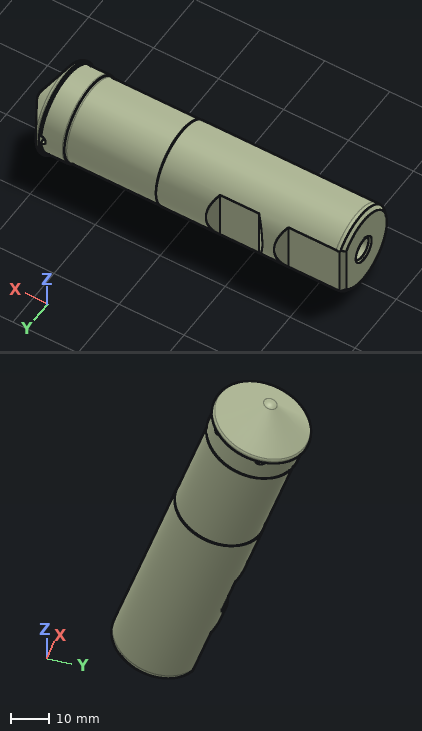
import cadquery as cq
import math

length = 100
shank_radius = 25 / 2
body_radius = 24.8 / 2
neck_radius = 12.8
flange_radius = 27 / 2

end_chamfer = 1.1
end_taper_length = 1.2

shank_length = 56
shank_step_length = 0.2
body_end = 83.6
neck_start = 84.2
edge_break = 0.1
neck_break_length = 0.5
flange_start = 91.5
flange_root_length = 0.3

point_half_angle = math.radians(59)
tip_round_radius = 3.6
rim_round_radius = 0.9

flat_height = 9.8
flat_end_chamfer = 1.3
end_flat_length = 17
inner_flat_start = 26
inner_flat_end = 38

bore_radius = 6.5 / 2
bore_mouth_chamfer = 0.6
bore_depth = 86
bore_tip_half_angle = math.radians(59)
branch_radius = 3 / 2
branch_tilt = 65
branch_exit_x = 91.5
branch_overrun = 2
branch_directions = (0, 203, 270)


def revolve_about_x(profile):
    return profile.close().revolve(360, (0, 0, 0), (1, 0, 0))


def turned_body():
    profile = (
        cq.Workplane("XY")
        .lineTo(0, body_radius - end_chamfer)
        .lineTo(end_chamfer, body_radius)
        .lineTo(end_chamfer + end_taper_length, shank_radius)
        .lineTo(shank_length, shank_radius)
        .lineTo(shank_length + shank_step_length, body_radius)
        .lineTo(body_end, body_radius)
        .lineTo(neck_start, body_radius + edge_break)
        .lineTo(neck_start, neck_radius - edge_break)
        .lineTo(neck_start + neck_break_length, neck_radius)
        .lineTo(flange_start - flange_root_length, neck_radius)
        .lineTo(flange_start, neck_radius + edge_break)
        .lineTo(flange_start, 0)
    )
    return revolve_about_x(profile)


def point():
    tip_center_x = length - tip_round_radius
    cone_end_x = tip_center_x + tip_round_radius * math.sin(point_half_angle)
    cone_end_radius = tip_round_radius * math.cos(point_half_angle)

    corner_x = cone_end_x - (flange_radius - cone_end_radius) / math.tan(point_half_angle)
    setback = rim_round_radius * math.tan(point_half_angle / 2)
    cone_start_x = corner_x + setback * math.cos(point_half_angle)
    cone_start_radius = flange_radius - setback * math.sin(point_half_angle)

    profile = (
        cq.Workplane("XY")
        .moveTo(flange_start, 0)
        .lineTo(flange_start, flange_radius)
        .lineTo(corner_x - setback, flange_radius)
        .tangentArcPoint((cone_start_x, cone_start_radius), relative=False)
        .lineTo(cone_end_x, cone_end_radius)
        .tangentArcPoint((length, 0), relative=False)
    )
    return revolve_about_x(profile)


def prism_along_z(outline):
    return cq.Workplane("XY").polyline(outline).close().extrude(flange_radius, both=True)


def clamping_flats():
    top = flange_radius
    rise = top - flat_height
    end_flat = prism_along_z([
        (0, top),
        (0, flat_height - flat_end_chamfer),
        (flat_end_chamfer, flat_height),
        (end_flat_length, flat_height),
        (end_flat_length + rise, top),
    ])
    inner_flat = prism_along_z([
        (inner_flat_start - rise, top),
        (inner_flat_start, flat_height),
        (inner_flat_end, flat_height),
        (inner_flat_end + rise, top),
    ])
    return end_flat.union(inner_flat)


def coolant_bore():
    tip_length = bore_radius / math.tan(bore_tip_half_angle)
    profile = (
        cq.Workplane("XY")
        .lineTo(0, bore_radius + bore_mouth_chamfer)
        .lineTo(bore_mouth_chamfer, bore_radius)
        .lineTo(bore_depth, bore_radius)
        .lineTo(bore_depth + tip_length, 0)
    )
    return revolve_about_x(profile)


def branch_hole(direction):
    tilt = math.radians(branch_tilt)
    start = cq.Vector(branch_exit_x - neck_radius / math.tan(tilt), 0, 0)
    axis = cq.Vector(math.cos(tilt), math.sin(tilt), 0)
    hole_length = neck_radius / math.sin(tilt) + branch_overrun
    hole = cq.Solid.makeCylinder(branch_radius, hole_length, start, axis)
    return cq.Workplane(hole).rotate((0, 0, 0), (1, 0, 0), direction)


result = turned_body().cut(clamping_flats()).cut(coolant_bore())
for direction in branch_directions:
    result = result.cut(branch_hole(direction))

result = result.union(point())